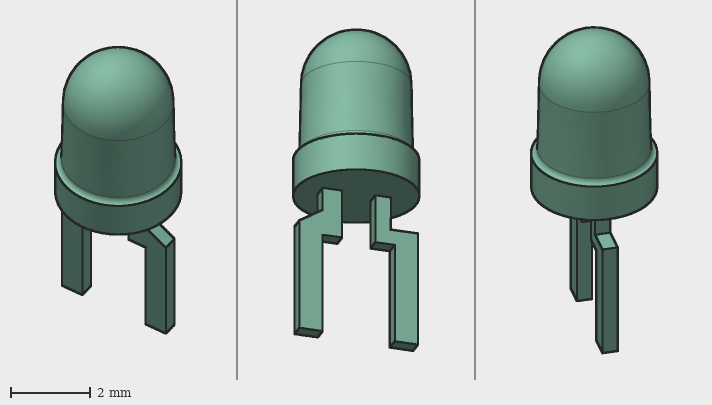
import cadquery as cq
import math

total_height = 8.5

lens_bottom = 3.995
flange_radius = 1.6
flange_height = 1.0
flange_top = lens_bottom + flange_height
fillet_radius = 0.15
barrel_bottom_radius = flange_radius - fillet_radius
barrel_bottom = flange_top + fillet_radius
dome_radius = 1.4
dome_base = total_height - dome_radius

lead_thickness = 0.4
lead_outer_x = 1.58
leg_width = 0.62
leg_inner_x = lead_outer_x - leg_width
neck_inner_x = 0.44
left_neck_width = 0.42
left_neck_outer_x = neck_inner_x + left_neck_width
step_bottom = lens_bottom - 1.31
left_shoulder = lens_bottom - 0.89
slope_top = lens_bottom - 0.61
slope_bottom = lens_bottom - 0.995


def make_lens():
    """Revolve the lens half-profile, with a concave fillet from the barrel to the flange rim."""
    diagonal = math.sqrt(0.5)
    fillet_middle = (
        flange_radius - fillet_radius * diagonal,
        barrel_bottom - fillet_radius * diagonal,
    )
    dome_middle = (dome_radius * diagonal, dome_base + dome_radius * diagonal)
    return (
        cq.Workplane("XZ")
        .moveTo(0, lens_bottom)
        .lineTo(flange_radius, lens_bottom)
        .lineTo(flange_radius, flange_top)
        .threePointArc(fillet_middle, (barrel_bottom_radius, barrel_bottom))
        .lineTo(dome_radius, dome_base)
        .threePointArc(dome_middle, (0, total_height))
        .close()
        .revolve(360, (0, 0, 0), (0, 1, 0))
    )


def make_lead(outline):
    """Extrude a lead outline, centred on the XZ plane."""
    return cq.Workplane("XZ").polyline(outline).close().extrude(lead_thickness / 2, both=True)


def make_left_lead():
    """Lead with a square shoulder."""
    return make_lead([
        (-neck_inner_x, lens_bottom),
        (-left_neck_outer_x, lens_bottom),
        (-left_neck_outer_x, left_shoulder),
        (-lead_outer_x, left_shoulder),
        (-lead_outer_x, 0),
        (-leg_inner_x, 0),
        (-leg_inner_x, step_bottom),
        (-neck_inner_x, step_bottom),
    ])


def make_right_lead():
    """Lead with a sloping shoulder; its neck ends in line with the inner side of the leg."""
    return make_lead([
        (neck_inner_x, lens_bottom),
        (leg_inner_x, lens_bottom),
        (leg_inner_x, slope_top),
        (lead_outer_x, slope_bottom),
        (lead_outer_x, 0),
        (leg_inner_x, 0),
        (leg_inner_x, step_bottom),
        (neck_inner_x, step_bottom),
    ])


lens = make_lens()
left_lead = make_left_lead()
right_lead = make_right_lead()

result = cq.Compound.makeCompound([lens.val(), left_lead.val(), right_lead.val()])